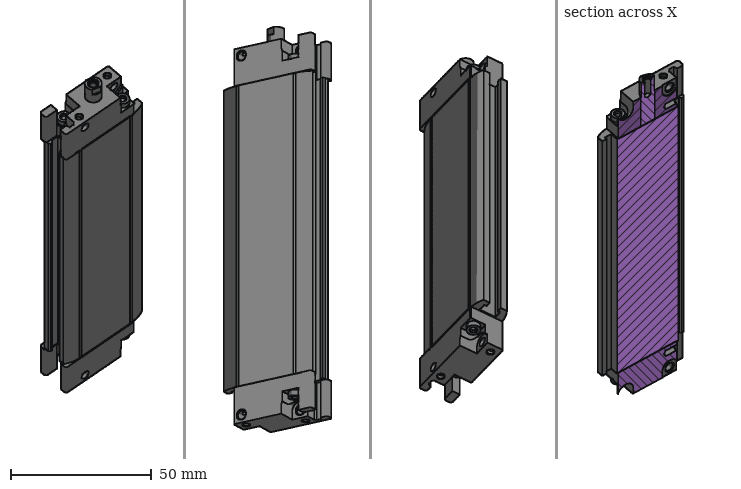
import cadquery as cq
import math

WIDTH = 14.0
CAP_HEIGHT = 14.0
TUBE_LENGTH = 114.0
ROD_STICK_OUT = 7.0
TUBE_TOP = CAP_HEIGHT + TUBE_LENGTH
CAPS_TOP = TUBE_TOP + CAP_HEIGHT
OVERLAP = 1.0

TUBE_HALF_WIDTH = 6.7
TUBE_HALF_DEPTH = 18.75
TUBE_FLANK_HALF_LENGTH = 12.5
TUBE_END_HALF_WIDTH = 5.05
TUBE_SLOT_FLOOR = 13.9
TUBE_SLOT_HALF_WIDTH = 3.35
TUBE_LIP_HALF_GAP = 2.4
TUBE_LIP_THICKNESS = 2.0
TUBE_LIP_CHAMFER = 0.6
SELECTION_MARGIN = 0.1
FLANK_GROOVE_DIAMETER = 0.95

CAP_HALF_WIDTH = WIDTH / 2
CAP_BACK = 13.4
CAP_BACK_CHAMFER = 0.4
CAP_LEG_END = -19.25
CAP_SLOT_FLOOR = -13.2
LEG_INNER = 3.75
LEG_END_FILLET = 0.95
SLOT_CORNER_CHAMFER = 0.85
UNDERCUT_WALL = 5.2
UNDERCUT_END = -15.8
UNDERCUT_SLOPE = 0.6
UNDERCUT_CORNER = 0.7

MOUNT_HOLE_OFFSET = 10.1
MOUNT_HOLE_DIAMETER = 3.3
MOUNT_HOLE_RIM_DIAMETER = 4.0
MOUNT_HOLE_DEPTH = 3.0
END_HOLE_X = 3.8
END_HOLE_Y = 10.05
M3_CORE_DIAMETER = 2.46
M3_RIM_DIAMETER = 2.9
END_HOLE_LENGTH = 6.0
PORT_RIM_DIAMETER = 3.24
PORT_DEPTH = 11.0
PORT_LENGTH = 5.0
DRILL_TIP_ANGLE = 118.0

RECESS_DIAMETER = 6.8
RECESS_WALL = 0.25
POCKET_WALL = 0.6
POCKET_NEAR = 7.1
POCKET_FAR = 13.9
POCKET_CORNER_RADIUS = 2.9
POCKET_DEPTH = 8.4
SCREW_HEAD_DIAMETER = 5.0
SCREW_HEAD_HEIGHT = 2.1
SCREW_HEAD_X = 3.8
SCREW_HEAD_Y = 10.55
SOCKET_LENGTH = 1.2

ROD_DIAMETER = 6.0
ROD_ACROSS_FLATS = 5.0
ROD_FLAT_LENGTH = 2.7
ROD_FLAT_ANGLE = -16.0
ROD_HOLE_LENGTH = 8.0
ROD_COUNTERBORE_DIAMETER = 3.24
ROD_COUNTERBORE_DEPTH = 1.0
ROD_RIM_DIAMETER = 4.0


def drill(diameter, length, origin, direction):
    """Blind drill starting at origin, with a conical tip beyond the straight length."""
    radius = diameter / 2
    tip = radius / math.tan(math.radians(DRILL_TIP_ANGLE / 2))
    half_section = [(0, -OVERLAP), (radius, -OVERLAP), (radius, length), (0, length + tip)]
    bit = cq.Workplane("XY").polyline(half_section).close().revolve(360, (0, 0), (0, 1))
    bit = bit.rotate((0, 0, 0), (1, 0, 0), 90)
    plane = cq.Plane(origin=origin, normal=direction)
    return cq.Workplane(obj=bit.val().moved(cq.Location(plane)))


def rim_bevel(rim_diameter, hole_diameter, origin, direction):
    """45 degree bevel that widens a hole to rim_diameter at its mouth."""
    depth = (rim_diameter - hole_diameter) / 2
    cone = cq.Solid.makeCone(
        rim_diameter / 2, hole_diameter / 2, depth, pnt=cq.Vector(origin), dir=cq.Vector(direction)
    )
    return cq.Workplane(obj=cone)


def tapped_hole(rim_diameter, length, origin, direction):
    """Blind M3 core hole with a bevelled mouth."""
    bevel = rim_bevel(rim_diameter, M3_CORE_DIAMETER, origin, direction)
    return drill(M3_CORE_DIAMETER, length, origin, direction).union(bevel)


def block(x_range, y_range, z_range):
    """Box between the given limits."""
    sizes = [abs(b - a) for a, b in (x_range, y_range, z_range)]
    corner = [min(limits) for limits in (x_range, y_range, z_range)]
    return cq.Workplane("XY").box(*sizes, centered=False).translate(tuple(corner))


def shoulder_point():
    """Point halfway along the shoulder arc, which leaves the flank tangentially."""
    run = TUBE_HALF_DEPTH - TUBE_FLANK_HALF_LENGTH
    drop = TUBE_HALF_WIDTH - TUBE_END_HALF_WIDTH
    radius = (run**2 + drop**2) / (2 * drop)
    half_angle = math.asin(run / radius) / 2
    x = TUBE_HALF_WIDTH - radius * (1 - math.cos(half_angle))
    y = TUBE_FLANK_HALF_LENGTH + radius * math.sin(half_angle)
    return x, y


def make_tube():
    """Solid profile with curved shoulders and a T-slot along each narrow side."""
    mid_x, mid_y = shoulder_point()
    outline = (
        cq.Workplane("XY")
        .workplane(offset=CAP_HEIGHT)
        .moveTo(TUBE_HALF_WIDTH, -TUBE_FLANK_HALF_LENGTH)
        .lineTo(TUBE_HALF_WIDTH, TUBE_FLANK_HALF_LENGTH)
        .threePointArc((mid_x, mid_y), (TUBE_END_HALF_WIDTH, TUBE_HALF_DEPTH))
        .lineTo(-TUBE_END_HALF_WIDTH, TUBE_HALF_DEPTH)
        .threePointArc((-mid_x, mid_y), (-TUBE_HALF_WIDTH, TUBE_FLANK_HALF_LENGTH))
        .lineTo(-TUBE_HALF_WIDTH, -TUBE_FLANK_HALF_LENGTH)
        .threePointArc((-mid_x, -mid_y), (-TUBE_END_HALF_WIDTH, -TUBE_HALF_DEPTH))
        .lineTo(TUBE_END_HALF_WIDTH, -TUBE_HALF_DEPTH)
        .threePointArc((mid_x, -mid_y), (TUBE_HALF_WIDTH, -TUBE_FLANK_HALF_LENGTH))
        .close()
    )
    tube = outline.extrude(TUBE_LENGTH)

    z_range = (CAP_HEIGHT, TUBE_TOP)
    lip_start = TUBE_HALF_DEPTH - TUBE_LIP_THICKNESS
    slot_x = (-TUBE_SLOT_HALF_WIDTH, TUBE_SLOT_HALF_WIDTH)
    gap_x = (-TUBE_LIP_HALF_GAP, TUBE_LIP_HALF_GAP)
    for side in (-1, 1):
        tube = tube.cut(block(slot_x, (side * TUBE_SLOT_FLOOR, side * lip_start), z_range))
        tube = tube.cut(block(gap_x, (side * lip_start, side * TUBE_HALF_DEPTH), z_range))

    lip_edges = cq.selectors.BoxSelector(
        (-TUBE_LIP_HALF_GAP - SELECTION_MARGIN, -TUBE_HALF_DEPTH - SELECTION_MARGIN, CAP_HEIGHT),
        (TUBE_LIP_HALF_GAP + SELECTION_MARGIN, -lip_start + SELECTION_MARGIN, TUBE_TOP),
    )
    tube = tube.edges("|Z").edges(lip_edges).chamfer(TUBE_LIP_CHAMFER)

    groove_y = TUBE_FLANK_HALF_LENGTH - FLANK_GROOVE_DIAMETER / 2
    grooves = (
        cq.Workplane("XY", origin=(0, 0, CAP_HEIGHT))
        .rect(2 * TUBE_HALF_WIDTH, 2 * groove_y, forConstruction=True)
        .vertices()
        .circle(FLANK_GROOVE_DIAMETER / 2)
        .extrude(TUBE_LENGTH)
    )
    return tube.cut(grooves)


def cap_body():
    """Block with two legs; the slot between them is undercut into the +X leg."""
    body = (
        cq.Workplane("XY")
        .moveTo(-CAP_HALF_WIDTH, CAP_BACK)
        .lineTo(-CAP_HALF_WIDTH, CAP_LEG_END)
        .lineTo(-LEG_INNER, CAP_LEG_END)
        .lineTo(-LEG_INNER, CAP_SLOT_FLOOR - SLOT_CORNER_CHAMFER)
        .lineTo(-LEG_INNER + SLOT_CORNER_CHAMFER, CAP_SLOT_FLOOR)
        .lineTo(UNDERCUT_WALL - UNDERCUT_CORNER, CAP_SLOT_FLOOR)
        .lineTo(UNDERCUT_WALL, CAP_SLOT_FLOOR - UNDERCUT_CORNER)
        .lineTo(UNDERCUT_WALL, UNDERCUT_END)
        .lineTo(LEG_INNER, UNDERCUT_END - UNDERCUT_SLOPE)
        .lineTo(LEG_INNER, CAP_LEG_END)
        .lineTo(CAP_HALF_WIDTH, CAP_LEG_END)
        .lineTo(CAP_HALF_WIDTH, CAP_BACK)
        .close()
        .extrude(CAP_HEIGHT)
    )
    body = body.faces("<Y").edges("|Z").fillet(LEG_END_FILLET)
    return body.faces(">Y").edges("|Z").chamfer(CAP_BACK_CHAMFER)


def corner_pocket():
    """Pocket in the -X -Y corner: a round-bottomed recess above a pocket with one rounded corner."""
    axis_height = CAP_HEIGHT - MOUNT_HOLE_DEPTH
    radius = RECESS_DIAMETER / 2
    outside = -CAP_HALF_WIDTH - OVERLAP
    above = CAP_HEIGHT + OVERLAP
    round_part = (
        cq.Workplane("YZ", origin=(outside, -MOUNT_HOLE_OFFSET, axis_height))
        .circle(radius)
        .extrude(RECESS_WALL - outside)
    )
    open_part = block(
        (outside, RECESS_WALL),
        (-MOUNT_HOLE_OFFSET - radius, -MOUNT_HOLE_OFFSET + radius),
        (axis_height, above),
    )
    square_part = block(
        (outside, -POCKET_WALL), (-POCKET_FAR, -POCKET_NEAR), (CAP_HEIGHT - POCKET_DEPTH, above)
    )
    inner_corner = cq.selectors.NearestToPointSelector((-POCKET_WALL, -POCKET_NEAR, CAP_HEIGHT))
    square_part = square_part.edges("|Z").edges(inner_corner).fillet(POCKET_CORNER_RADIUS)
    return round_part.union(open_part).union(square_part)


def screw_head():
    """Round head with a blind socket, standing on the floor of the corner pocket."""
    floor = CAP_HEIGHT - POCKET_DEPTH
    top = floor + SCREW_HEAD_HEIGHT
    position = (-SCREW_HEAD_X, -SCREW_HEAD_Y)
    head = (
        cq.Workplane("XY", origin=(*position, floor))
        .circle(SCREW_HEAD_DIAMETER / 2)
        .extrude(SCREW_HEAD_HEIGHT)
    )
    return head.cut(tapped_hole(M3_RIM_DIAMETER, SOCKET_LENGTH, (*position, top), (0, 0, -1)))


def mount_hole(y, rim_x):
    """Hole through the cap along X, with a bevelled rim where it enters at rim_x."""
    height = CAP_HEIGHT - MOUNT_HOLE_DEPTH
    hole = (
        cq.Workplane("YZ", origin=(-CAP_HALF_WIDTH - OVERLAP, y, height))
        .circle(MOUNT_HOLE_DIAMETER / 2)
        .extrude(WIDTH + 2 * OVERLAP)
    )
    rim_center = (rim_x, y, height)
    rim = rim_bevel(MOUNT_HOLE_RIM_DIAMETER, MOUNT_HOLE_DIAMETER, rim_center, (1, 0, 0))
    return hole.union(rim)


def make_cap():
    """Cap with its outer end face up and its inner face on Z = 0."""
    cap = cap_body()
    for turn in (0, 180):
        pocket = corner_pocket().rotate((0, 0, 0), (0, 0, 1), turn)
        head = screw_head().rotate((0, 0, 0), (0, 0, 1), turn)
        cap = cap.cut(pocket).union(head)
    cap = cap.cut(mount_hole(MOUNT_HOLE_OFFSET, -CAP_HALF_WIDTH))
    cap = cap.cut(mount_hole(-MOUNT_HOLE_OFFSET, RECESS_WALL))
    for side in (-1, 1):
        start = (-side * END_HOLE_X, side * END_HOLE_Y, CAP_HEIGHT)
        cap = cap.cut(tapped_hole(M3_RIM_DIAMETER, END_HOLE_LENGTH, start, (0, 0, -1)))
    port_start = (0, CAP_SLOT_FLOOR, CAP_HEIGHT - PORT_DEPTH)
    return cap.cut(tapped_hole(PORT_RIM_DIAMETER, PORT_LENGTH, port_start, (0, 1, 0)))


def make_bottom_cap():
    """Mirrored cap, outer end face down on Z = 0."""
    return make_cap().mirror("XY").translate((0, 0, CAP_HEIGHT))


def make_top_cap():
    """Cap on top of the tube, bored through for the rod."""
    bore = cq.Workplane("XY").circle(ROD_DIAMETER / 2).extrude(CAP_HEIGHT)
    return make_cap().cut(bore).translate((0, 0, TUBE_TOP))


def make_rod():
    """Rod filling the bore of the top cap, with two wrench flats and a threaded-core hole."""
    rod_top = CAPS_TOP + ROD_STICK_OUT
    rod = (
        cq.Workplane("XY", origin=(0, 0, TUBE_TOP))
        .circle(ROD_DIAMETER / 2)
        .extrude(rod_top - TUBE_TOP)
    )
    for side in (-1, 1):
        flat = block(
            (side * ROD_ACROSS_FLATS / 2, side * ROD_DIAMETER),
            (-ROD_DIAMETER, ROD_DIAMETER),
            (rod_top - ROD_FLAT_LENGTH, rod_top + OVERLAP),
        )
        rod = rod.cut(flat.rotate((0, 0, 0), (0, 0, 1), ROD_FLAT_ANGLE))
    rod = rod.cut(drill(M3_CORE_DIAMETER, ROD_HOLE_LENGTH, (0, 0, rod_top), (0, 0, -1)))
    counterbore = (
        cq.Workplane("XY", origin=(0, 0, rod_top - ROD_COUNTERBORE_DEPTH))
        .circle(ROD_COUNTERBORE_DIAMETER / 2)
        .extrude(ROD_COUNTERBORE_DEPTH)
    )
    rim = rim_bevel(ROD_RIM_DIAMETER, ROD_COUNTERBORE_DIAMETER, (0, 0, rod_top), (0, 0, -1))
    return rod.cut(counterbore).cut(rim)


tube = make_tube()
bottom_cap = make_bottom_cap()
top_cap = make_top_cap()
rod = make_rod()

result = cq.Compound.makeCompound([tube.val(), bottom_cap.val(), top_cap.val(), rod.val()])